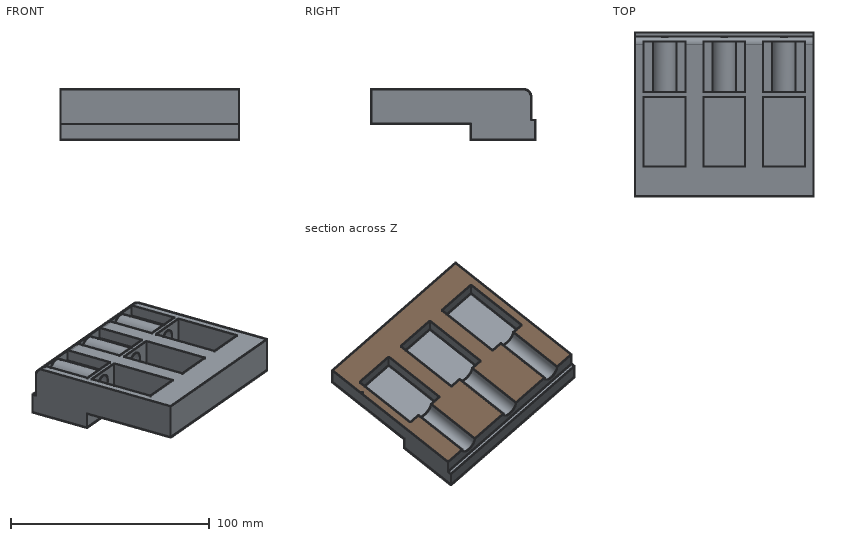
import cadquery as cq

width = 90.0
length = 82.5
height = 25.5

foot_length = 32.5
slab_underside = 8.0
ledge_depth = 2.0
ledge_height = 10.0
back_edge_radius = 4.0

station_count = 3
station_pitch = 30.0
pocket_width = 21.0
front_pocket_floor = 11.0
front_margin = 15.0
front_pocket_length = 35.0
divider_thickness = 2.5
back_pocket_length = 25.5
back_pocket_floor = 19.75

tube_diameter = 12.0
bore_diameter = 9.0
tube_axis_height = 18.5

back_wall = length - ledge_depth
front_pocket_end = front_margin + front_pocket_length
back_pocket_start = front_pocket_end + divider_thickness


def make_body():
    """Extrude the stepped side profile along X and round the upper back edge."""
    foot_start = length - foot_length
    profile = [
        (0, slab_underside),
        (foot_start, slab_underside),
        (foot_start, 0),
        (length, 0),
        (length, ledge_height),
        (back_wall, ledge_height),
        (back_wall, height),
        (0, height),
    ]
    body = cq.Workplane("YZ").polyline(profile).close().extrude(width)
    upper_back_edge = cq.selectors.NearestToPointSelector((width / 2, back_wall, height))
    return body.edges(upper_back_edge).fillet(back_edge_radius)


def make_pocket(center_x, start_y, pocket_length, pocket_floor):
    """Box that opens a pocket from its floor up through the top face."""
    depth = height - pocket_floor
    corner = (center_x - pocket_width / 2, start_y, pocket_floor)
    return cq.Workplane("XY").box(pocket_width, pocket_length, depth, centered=False).translate(corner)


def make_rod(center_x, diameter, start_y, end_y):
    """Cylinder along Y at the tube axis height."""
    start = cq.Vector(center_x, start_y, tube_axis_height)
    return cq.Solid.makeCylinder(diameter / 2, end_y - start_y, start, cq.Vector(0, 1, 0))


def cut_station(body, center_x):
    """Cut both pockets, bridge the back one with a tube and bore it through the back wall."""
    back_pocket_end = back_pocket_start + back_pocket_length
    body = body.cut(make_pocket(center_x, front_margin, front_pocket_length, front_pocket_floor))
    body = body.cut(make_pocket(center_x, back_pocket_start, back_pocket_length, back_pocket_floor))
    body = body.union(make_rod(center_x, tube_diameter, back_pocket_start, back_pocket_end))
    return body.cut(make_rod(center_x, bore_diameter, front_pocket_end, length))


result = make_body()
first_center = width / 2 - station_pitch * (station_count - 1) / 2
for station in range(station_count):
    result = cut_station(result, first_center + station * station_pitch)